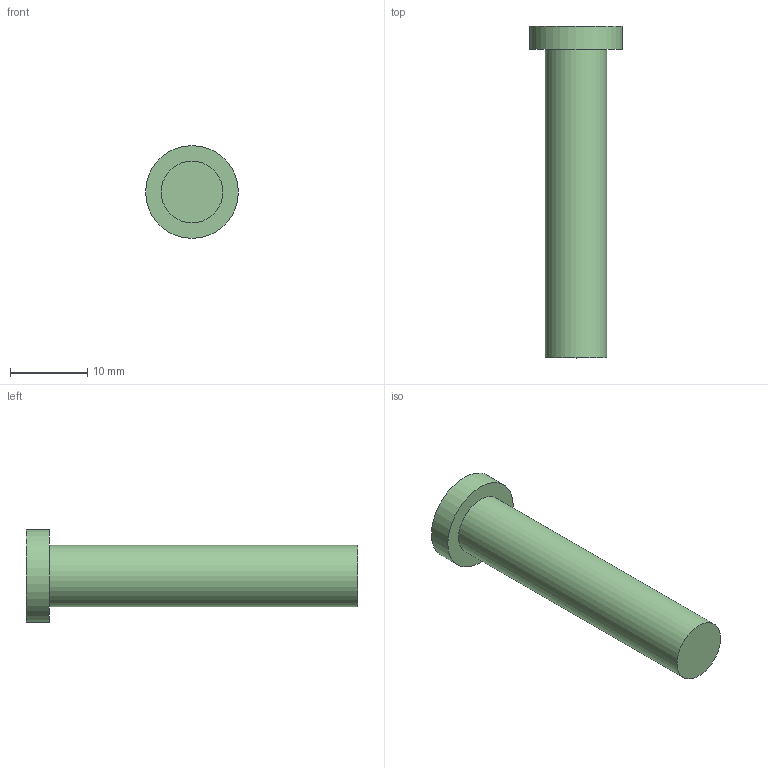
import cadquery as cq

HEAD_DIAMETER = 12.0
HEAD_THICKNESS = 3.0
SHANK_DIAMETER = 8.0
SHANK_LENGTH = 40.0


def cylinder_along_y(diameter, start_y, length):
    """Solid cylinder centred on the Y axis, running from start_y toward +Y."""
    circle_plane = cq.Plane(origin=(0, start_y, 0), xDir=(-1, 0, 0), normal=(0, 1, 0))
    return cq.Workplane(circle_plane).circle(diameter / 2).extrude(length)


shank = cylinder_along_y(SHANK_DIAMETER, -SHANK_LENGTH, SHANK_LENGTH)
head = cylinder_along_y(HEAD_DIAMETER, 0, HEAD_THICKNESS)

result = shank.union(head)